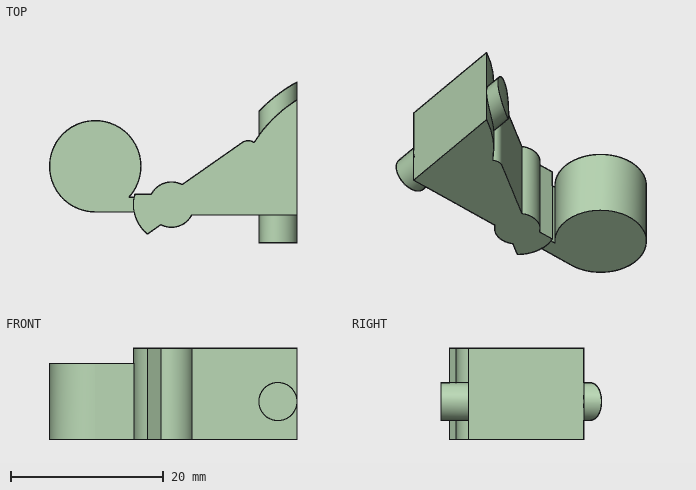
import cadquery as cq
import math


roller_radius = 6.0
roller_height = 10.0
roller_x = -10.0
tab_half_width = 0.97
roller_y = roller_radius - tab_half_width

lever_height = 12.0
lever_end_x = 16.45
arm_half_width = 1.35
arm_angle = 35.0
arm_round_distance = 12.27
hub_radius = 3.0
nose_radius = 5.0

rim_center = (26.0, -1.5)
plate_rim_radius = 18.0
pin_rim_radius = 20.0

pin_diameter = 5.0
pin_x = lever_end_x - pin_diameter / 2
pin_z = roller_height / 2
pin_start_y = -5.0


def disc(radius, height, center=(0, 0)):
    """Upright cylinder standing on the base plane."""
    return cq.Workplane("XY").center(*center).circle(radius).extrude(height)


def bar(start_x, end_x, half_width, height):
    """Straight bar along X, centred on the X axis and standing on the base plane."""
    return (
        cq.Workplane("XY")
        .moveTo((start_x + end_x) / 2, 0)
        .rect(end_x - start_x, 2 * half_width)
        .extrude(height)
    )


def make_nose():
    """Wedge left of the pivot, between the level and sloping arms, with an arc end."""
    slope = math.radians(arm_angle)
    reach = math.sqrt(nose_radius**2 - arm_half_width**2)
    tip = (
        -reach * math.cos(slope) + arm_half_width * math.sin(slope),
        -reach * math.sin(slope) - arm_half_width * math.cos(slope),
    )
    sloping_side_foot = (arm_half_width * math.sin(slope), -arm_half_width * math.cos(slope))
    return (
        cq.Workplane("XY")
        .moveTo(0, arm_half_width)
        .lineTo(-reach, arm_half_width)
        .threePointArc((-nose_radius, 0), tip)
        .lineTo(*sloping_side_foot)
        .close()
        .extrude(lever_height)
    )


def make_plate_body():
    """Plate from the lower side up to the rim arc, with the round-ended sloping arm."""
    slope = math.radians(arm_angle)
    round_x = arm_round_distance * math.cos(slope)
    round_y = arm_round_distance * math.sin(slope)
    rim_end_y = rim_center[1] + math.sqrt(plate_rim_radius**2 - (rim_center[0] - lever_end_x) ** 2)
    rim_start_x = rim_center[0] - math.sqrt(plate_rim_radius**2 - (round_y - rim_center[1]) ** 2)
    rim_angle = math.atan2(
        (rim_end_y + round_y) / 2 - rim_center[1],
        (lever_end_x + rim_start_x) / 2 - rim_center[0],
    )
    rim_middle = (
        rim_center[0] + plate_rim_radius * math.cos(rim_angle),
        rim_center[1] + plate_rim_radius * math.sin(rim_angle),
    )
    plate = (
        cq.Workplane("XY")
        .moveTo(0, -arm_half_width)
        .lineTo(lever_end_x, -arm_half_width)
        .lineTo(lever_end_x, rim_end_y)
        .threePointArc(rim_middle, (rim_start_x, round_y))
        .lineTo(round_x, round_y)
        .lineTo(0, 0)
        .close()
        .extrude(lever_height)
    )
    sloping_arm = bar(0, arm_round_distance, arm_half_width, lever_height).rotate(
        (0, 0, 0), (0, 0, 1), arm_angle
    )
    round_end = disc(arm_half_width, lever_height, (round_x, round_y))
    return plate.union(sloping_arm).union(round_end)


def make_pin():
    """Cross pin, trimmed at its far end by the rim cylinder."""
    pin_length = pin_rim_radius - pin_start_y
    pin = (
        cq.Workplane("XZ", origin=(pin_x, pin_start_y, pin_z))
        .circle(pin_diameter / 2)
        .extrude(-pin_length)
    )
    return pin.intersect(disc(pin_rim_radius, lever_height, rim_center))


def make_lever():
    hub = disc(hub_radius, lever_height)
    return make_plate_body().union(hub).union(make_nose()).union(make_pin())


def make_roller():
    cylinder = disc(roller_radius, roller_height, (roller_x, roller_y))
    tab = bar(roller_x, 0, tab_half_width, roller_height)
    return cylinder.union(tab).cut(disc(nose_radius, roller_height))


lever = make_lever()
roller = make_roller()
result = cq.Compound.makeCompound([lever.val(), roller.val()])